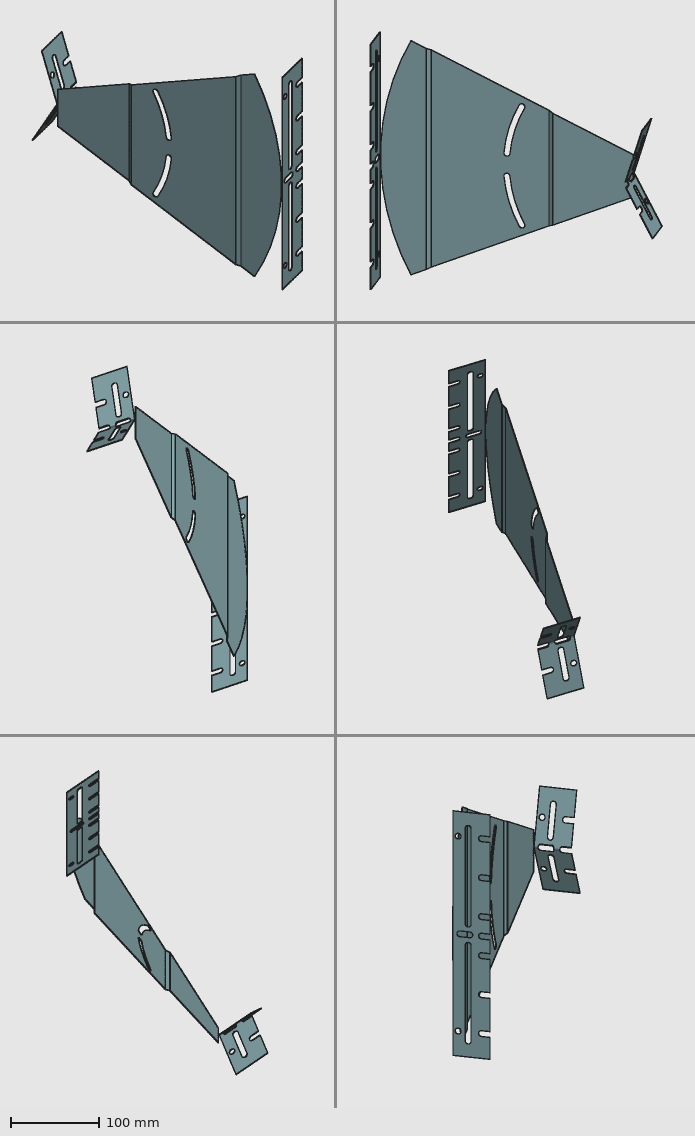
import cadquery as cq
import math

thickness = 1.0
strip_width = 44.5

sector_radius = 296.0
short_edge = 51.0
side_angle = 23.9
step_depth = 3.0
step_run = 5.0
step_starts = (94.3, 237.3)
guide_radius = 149.2
guide_angles = (5.3, 28.5)

hole_diameter = 7.0
long_slot_y = 18.2
hole_y = 6.3
notch_depth = 13.5
cross_slot_y = 14.2
cross_slot_length = 19.0

wall_height = 295.0
wall_z = 1.0
wall_slot_start = 9.3
wall_slot_end = 131.7
wall_notch_pitch = 47.0
wall_notch_levels = [wall_notch_pitch * (i + 0.5) for i in range(3)]
wall_hole_level = wall_notch_levels[-1]

fold_x = -0.3
fold_z = 4.0
arm_length = 70.0
upper_lean = 17.0
lower_lean = 28.0
arm_slot_start = 10.3
arm_slot_end = 54.5
arm_hole_level = arm_length / 2
fold_slot_width = 5.3
fold_inner_radius = 1.0

cutter_depth = 4 * thickness


def polar(radius, degrees):
    """Point in the XZ plane at a radius and direction from the origin."""
    angle = math.radians(degrees)
    return (radius * math.cos(angle), radius * math.sin(angle))


def along_y(y_start, y_end):
    """XZ workplane at y_end and the extrusion depth that reaches down to y_start."""
    return cq.Workplane("XZ", origin=(0, y_end, 0)), y_end - y_start


def stepped_profile():
    """XY section of the sheet with its middle part offset, extruded to cover the full outline."""
    back = [(0, 0)]
    depth = 0
    for start, next_depth in zip(step_starts, (-step_depth, 0)):
        back += [(start, depth), (start + step_run, next_depth)]
        depth = next_depth
    back.append((sector_radius, 0))
    front = [(x, y - thickness) for x, y in reversed(back)]
    return cq.Workplane("XY").polyline(back + front).close().extrude(sector_radius, both=True)


def sector_corner():
    """Point where the upper straight side meets the arc."""
    half_edge = short_edge / 2
    slope = math.radians(side_angle)
    drop = half_edge * math.sin(slope)
    length = math.sqrt(drop**2 + sector_radius**2 - half_edge**2) - drop
    return (length * math.cos(slope), half_edge + length * math.sin(slope))


def sector_outline():
    plane, depth = along_y(-step_depth - thickness, 0)
    x, z = sector_corner()
    half_edge = short_edge / 2
    return (
        plane.moveTo(0, -half_edge)
        .lineTo(x, -z)
        .threePointArc((sector_radius, 0), (x, z))
        .lineTo(0, half_edge)
        .close()
        .extrude(depth)
    )


def guide_slot(side):
    """Curved slot above (side = 1) or below (side = -1) the middle."""
    plane, depth = along_y(-step_depth - thickness, 0)
    near, far = (side * angle for angle in guide_angles)
    middle = (near + far) / 2
    half_width = hole_diameter / 2
    inner = guide_radius - half_width
    outer = guide_radius + half_width
    near_outward = near - side * 90
    far_outward = far + side * 90
    near_centre = polar(guide_radius, near)
    far_centre = polar(guide_radius, far)

    def end_tip(centre, direction):
        dx, dz = polar(half_width, direction)
        return (centre[0] + dx, centre[1] + dz)

    return (
        plane.moveTo(*polar(inner, near))
        .threePointArc(polar(inner, middle), polar(inner, far))
        .threePointArc(end_tip(far_centre, far_outward), polar(outer, far))
        .threePointArc(polar(outer, middle), polar(outer, near))
        .threePointArc(end_tip(near_centre, near_outward), polar(inner, near))
        .close()
        .extrude(depth)
    )


def make_sector():
    sheet = stepped_profile().intersect(sector_outline())
    for side in (1, -1):
        sheet = sheet.cut(guide_slot(side))
    return sheet


def slot_cutter(y, z, length, angle, width=hole_diameter):
    return (
        cq.Workplane("YZ")
        .center(y, z)
        .slot2D(length, width, angle)
        .extrude(cutter_depth, both=True)
    )


def notch_cutter(z, width=hole_diameter):
    """Round-ended notch open at the strip's +Y edge."""
    return slot_cutter(strip_width, z, 2 * notch_depth, 0, width)


def hole_cutter(z):
    return cq.Workplane("YZ").center(hole_y, z).circle(hole_diameter / 2).extrude(cutter_depth, both=True)


def middle_cutter(width):
    """Notch and cross slot at the strip's middle."""
    return notch_cutter(0, width).union(slot_cutter(cross_slot_y, 0, cross_slot_length, 0, width))


def half_cutter(slot_start, slot_end, notch_levels, hole_level):
    """Long slot, notches and hole on the +Z half of a strip."""
    slot_middle = (slot_start + slot_end) / 2
    cutter = slot_cutter(long_slot_y, slot_middle, slot_end - slot_start, 90)
    for level in notch_levels:
        cutter = cutter.union(notch_cutter(level))
    return cutter.union(hole_cutter(hole_level))


def make_wall():
    strip = cq.Workplane("XY").box(thickness, strip_width, wall_height, centered=(False, False, True))
    half = half_cutter(wall_slot_start, wall_slot_end, wall_notch_levels, wall_hole_level)
    strip = strip.cut(middle_cutter(hole_diameter)).cut(half).cut(half.mirror("XY"))
    return strip.translate((sector_radius, 0, wall_z))


def bracket_blank():
    """Bent strip whose outer faces, before the fold is rounded, meet on the Y axis."""
    plane, depth = along_y(0, strip_width)
    upper = 90 + upper_lean
    lower = -90 - lower_lean
    upper_tip = polar(arm_length, upper)
    lower_tip = polar(arm_length, lower)
    upper_offset = polar(thickness, upper + 90)
    lower_offset = polar(thickness, lower - 90)
    half_bend = math.radians((upper_lean + lower_lean) / 2)
    inner_fold = polar(thickness / math.cos(half_bend), 180 + (upper_lean - lower_lean) / 2)
    blank = (
        plane.polyline(
            [
                (0, 0),
                upper_tip,
                (upper_tip[0] + upper_offset[0], upper_tip[1] + upper_offset[1]),
                inner_fold,
                (lower_tip[0] + lower_offset[0], lower_tip[1] + lower_offset[1]),
                lower_tip,
            ]
        )
        .close()
        .extrude(depth)
    )
    middle_y = strip_width / 2
    blank = blank.edges(cq.NearestToPointSelector((0, middle_y, 0))).fillet(fold_inner_radius + thickness)
    inner_edge = cq.NearestToPointSelector((inner_fold[0], middle_y, inner_fold[1]))
    return blank.edges(inner_edge).fillet(fold_inner_radius)


def make_bracket():
    bracket = bracket_blank()
    half = half_cutter(arm_slot_start, arm_slot_end, [arm_hole_level], arm_hole_level)
    half = half.union(middle_cutter(fold_slot_width))
    upper = half.rotate((0, 0, 0), (0, 1, 0), -upper_lean)
    lower = half.mirror("XY").rotate((0, 0, 0), (0, 1, 0), lower_lean)
    return bracket.cut(upper).cut(lower).translate((fold_x, 0, fold_z))


sector = make_sector()
wall = make_wall()
bracket = make_bracket()

result = cq.Compound.makeCompound([sector.val(), wall.val(), bracket.val()])